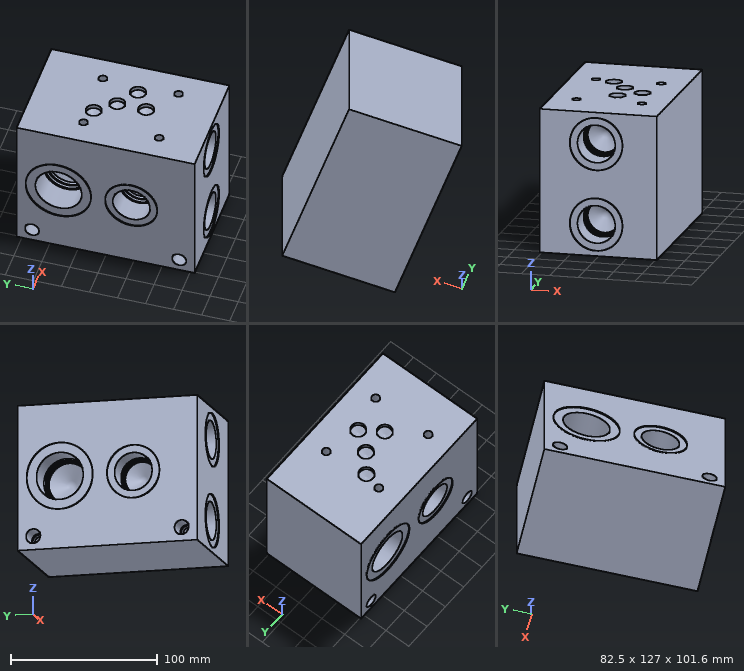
import cadquery as cq
import math

WIDTH = 82.5
LENGTH = 127.0
HEIGHT = 101.6
LEFT_X = -WIDTH / 2
FRONT_Y = -LENGTH / 2

DRILL_POINT_ANGLE = 118.0
POINT_SLOPE = math.tan(math.radians(90 - DRILL_POINT_ANGLE / 2))

SPOTFACE_DEPTH = 0.8
SMALL_PORT = {
    "spotface": 37.1,
    "thread": 26.5,
    "tap_drill": 24.4,
    "pilot_drill": 23.0,
    "thread_depth": 17.8,
    "tap_depth": 20.3,
    "pilot_depth": 22.9,
}
LARGE_PORT = {
    "spotface": 46.6,
    "thread": 33.0,
    "tap_drill": 30.6,
    "pilot_drill": 28.6,
    "thread_depth": 20.2,
    "tap_depth": 22.9,
    "pilot_depth": 25.4,
}

FRONT_PORT_X = -1.5
FRONT_PORT_HEIGHTS = (22.2, 79.1)

LEFT_PORT_HEIGHT = HEIGHT / 2
LARGE_PORT_Y = 33.8
SMALL_PORT_Y = -18.2

MOUNT_THREAD = 10.0
MOUNT_DRILL = 8.5
MOUNT_THREAD_DEPTH = 15.2
MOUNT_DRILL_DEPTH = 20.3
MOUNT_Y = 52.5
MOUNT_HEIGHT = 9.5

PATTERN_Y = -5.7
BOLT_SPACING_X = 46.0
BOLT_SPACING_Y = 54.0
BOLT_THREAD = 6.0
BOLT_DRILL = 5.0
BOLT_THREAD_DEPTH = 15.2
BOLT_DRILL_DEPTH = 20.3
FLOW_DIAMETER = 11.2
FLOW_DEPTH = 3.0
WORK_FLOW_X = 1.7
WORK_FLOW_SPACING = 20.6
PRESSURE_FLOW_X = 16.6
TANK_FLOW_X = -9.5
TANK_FLOW_OFFSET_Y = 23.7


def turned_cutter(steps):
    """Revolve (radius, depth) steps about Z into a cutter pointing down, ending in a drill point."""
    last_radius, last_depth = steps[-1]
    tip_depth = last_depth + last_radius * POINT_SLOPE
    outline = [(0, 0)]
    outline += [(radius, -depth) for radius, depth in steps]
    outline.append((0, -tip_depth))
    return cq.Workplane("XZ").polyline(outline).close().revolve(360, (0, 0, 0), (0, 1, 0))


def port_cutter(port):
    spotface_radius = port["spotface"] / 2
    thread_radius = port["thread"] / 2
    tap_radius = port["tap_drill"] / 2
    pilot_radius = port["pilot_drill"] / 2
    return turned_cutter([
        (spotface_radius, 0),
        (spotface_radius, SPOTFACE_DEPTH),
        (thread_radius, SPOTFACE_DEPTH),
        (thread_radius, port["thread_depth"]),
        (tap_radius, port["thread_depth"]),
        (tap_radius, port["tap_depth"]),
        (pilot_radius, port["tap_depth"]),
        (pilot_radius, port["pilot_depth"]),
    ])


def tapped_cutter(thread, drill, thread_depth, drill_depth):
    """Threaded bore over a narrower and deeper tap drill hole."""
    return turned_cutter([
        (thread / 2, 0),
        (thread / 2, thread_depth),
        (drill / 2, thread_depth),
        (drill / 2, drill_depth),
    ])


def on_front(cutter, x, z):
    return cutter.rotate((0, 0, 0), (1, 0, 0), 90).translate((x, FRONT_Y, z))


def on_left(cutter, y, z):
    return cutter.rotate((0, 0, 0), (0, 1, 0), -90).translate((LEFT_X, y, z))


def on_top(cutter, x, y):
    return cutter.translate((x, y, HEIGHT))


block = cq.Workplane("XY").box(WIDTH, LENGTH, HEIGHT, centered=(True, True, False))

small_port = port_cutter(SMALL_PORT)
large_port = port_cutter(LARGE_PORT)
for height in FRONT_PORT_HEIGHTS:
    block = block.cut(on_front(small_port, FRONT_PORT_X, height))
block = block.cut(on_left(large_port, LARGE_PORT_Y, LEFT_PORT_HEIGHT))
block = block.cut(on_left(small_port, SMALL_PORT_Y, LEFT_PORT_HEIGHT))

mount_hole = tapped_cutter(MOUNT_THREAD, MOUNT_DRILL, MOUNT_THREAD_DEPTH, MOUNT_DRILL_DEPTH)
for y in (-MOUNT_Y, MOUNT_Y):
    block = block.cut(on_left(mount_hole, y, MOUNT_HEIGHT))

bolt_hole = tapped_cutter(BOLT_THREAD, BOLT_DRILL, BOLT_THREAD_DEPTH, BOLT_DRILL_DEPTH)
for side_x in (-1, 1):
    for side_y in (-1, 1):
        bolt_x = side_x * BOLT_SPACING_X / 2
        bolt_y = PATTERN_Y + side_y * BOLT_SPACING_Y / 2
        block = block.cut(on_top(bolt_hole, bolt_x, bolt_y))

flow_hole = turned_cutter([(FLOW_DIAMETER / 2, 0), (FLOW_DIAMETER / 2, FLOW_DEPTH)])
flow_places = [
    (WORK_FLOW_X, PATTERN_Y + WORK_FLOW_SPACING / 2),
    (WORK_FLOW_X, PATTERN_Y - WORK_FLOW_SPACING / 2),
    (PRESSURE_FLOW_X, PATTERN_Y),
    (TANK_FLOW_X, PATTERN_Y + TANK_FLOW_OFFSET_Y),
]
for x, y in flow_places:
    block = block.cut(on_top(flow_hole, x, y))

result = block